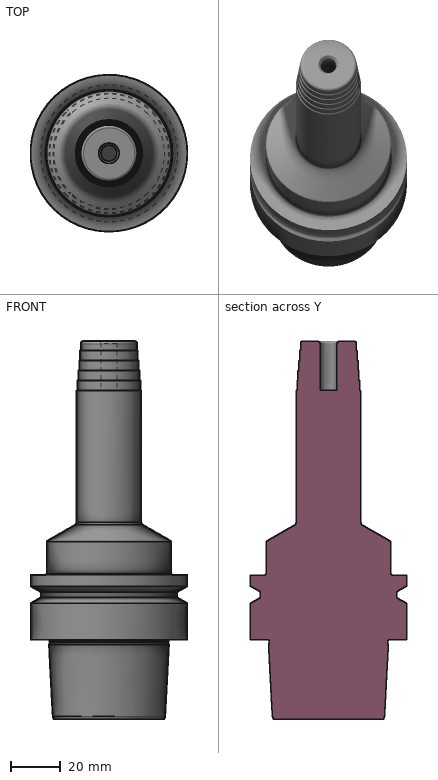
import cadquery as cq

total_height = 151.9
shank_height = 31.9
flange_top = 58.0
body_top = 71.7
stem_base = 79.1
nose_base = 131.8

shank_top_radius = 24.2
shank_bottom_radius = 22.6
shank_chamfer_height = 1.2
shank_chamfer_width = 0.5
relief_height = 1.8
relief_depth = 0.3
relief_slope_height = 0.6

flange_radius = 31.52
groove_floor_radius = 27.5
groove_corner_width = 0.5
groove_corner_height = 0.5
groove_bottom = 46.6
groove_top = 53.5
groove_flank_height = 2.0

body_radius = 25.0
body_chamfer = 0.3
body_foot_flare = 0.5
stem_radius = 13.0
stem_flare_width = 0.3
stem_flare_height = 0.9

nose_step_count = 5
nose_step_height = (total_height - nose_base) / nose_step_count
nose_step_width = 0.35
nose_ledge_height = 0.3
nose_rim_radius = 1.0

bore_radius = 3.2
bore_mouth_radius = 4.1
bore_depth = 19.7


def shank_profile():
    """Outline of the shank from the bottom centre up to the flange."""
    relief_radius = shank_top_radius - relief_depth
    relief_bottom = shank_height - relief_height
    return [
        (0, 0),
        (shank_bottom_radius - shank_chamfer_width, 0),
        (shank_bottom_radius, shank_chamfer_height),
        (shank_top_radius, relief_bottom),
        (relief_radius, relief_bottom + relief_slope_height),
        (relief_radius, shank_height - relief_slope_height),
        (shank_top_radius, shank_height),
    ]


def flange_profile():
    """Outline of the flange and its groove, whose floor corners are bevelled."""
    corner_radius = groove_floor_radius + groove_corner_width
    lower_corner = groove_bottom + groove_flank_height
    upper_corner = groove_top - groove_flank_height
    return [
        (flange_radius, shank_height),
        (flange_radius, groove_bottom),
        (corner_radius, lower_corner),
        (groove_floor_radius, lower_corner + groove_corner_height),
        (groove_floor_radius, upper_corner - groove_corner_height),
        (corner_radius, upper_corner),
        (flange_radius, groove_top),
        (flange_radius, flange_top),
    ]


def body_profile():
    """Outline of the body, the shoulder cone and the flared stem base."""
    return [
        (body_radius + body_foot_flare, flange_top),
        (body_radius, flange_top + body_foot_flare),
        (body_radius, body_top - body_chamfer),
        (body_radius - body_chamfer, body_top),
        (stem_radius + stem_flare_width, stem_base - stem_flare_height),
        (stem_radius, stem_base),
        (stem_radius, nose_base),
    ]


def nose_profile():
    """Outline of the stepped nose, closed off at the top centre."""
    points = []
    for step in range(nose_step_count):
        radius = stem_radius - (step + 1) * nose_step_width
        bottom = nose_base + step * nose_step_height
        points.append((radius, bottom + nose_ledge_height))
        points.append((radius, bottom + nose_step_height))
    points.append((0, total_height))
    return points


def bore():
    """Flat-bottomed bore with a 45 degree countersunk mouth."""
    mouth_bottom = total_height - (bore_mouth_radius - bore_radius)
    bore_bottom = total_height - bore_depth
    outline = [
        (0, bore_bottom),
        (bore_radius, bore_bottom),
        (bore_radius, mouth_bottom),
        (bore_mouth_radius, total_height),
        (0, total_height),
    ]
    return revolve(outline)


def revolve(outline):
    """Turn a (radius, height) outline about the Z axis."""
    return cq.Workplane("XZ").polyline(outline).close().revolve(360, (0, 0), (0, 1))


holder = revolve(shank_profile() + flange_profile() + body_profile() + nose_profile())
holder = holder.faces(">Z").edges().fillet(nose_rim_radius)
result = holder.cut(bore())